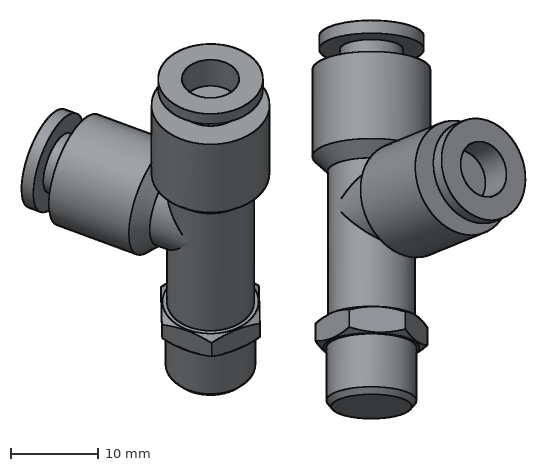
import cadquery as cq
import math


total_height = 44.5
branch_height = 23.0
branch_reach = 21.4

ring_height = 4.0
ring_flange_diameter = 12.0
ring_flange_thickness = 1.55
ring_neck_diameter = 7.25
ring_bore_diameter = 6.55

socket_diameter = 13.5
tube_diameter = 10.0
run_socket_start = 7.05
branch_socket_start = 6.95
cone_length = (socket_diameter - tube_diameter) / 2

thread_diameter = 10.3
thread_length = 7.07
thread_chamfer_width = 0.6
thread_chamfer_height = 0.7
hex_across_flats = 11.2
hex_height = 3.2
hex_chamfer_diameter = 11.0
hex_chamfer_angle = 30.0

hex_corner_diameter = hex_across_flats / math.cos(math.radians(30))
hex_top = thread_length + hex_height
run_socket_end = total_height - ring_height - branch_height
branch_socket_end = branch_reach - ring_height


def cylinder(diameter, bottom, top):
    """Cylinder on the Z axis between two heights."""
    return cq.Workplane("XY").workplane(offset=bottom).circle(diameter / 2).extrude(top - bottom)


def to_run(shape):
    """Move a shape from the origin up to the branch axis crossing."""
    return shape.translate((0, 0, branch_height))


def to_branch(shape):
    """Turn a shape from +Z to -X, then move it to the branch axis crossing."""
    return to_run(shape.rotate((0, 0, 0), (0, 1, 0), -90))


def make_arm(tube_start, socket_start, socket_end):
    """Tube that widens through a cone into a socket, along +Z."""
    tube_radius = tube_diameter / 2
    socket_radius = socket_diameter / 2
    return (
        cq.Workplane("XZ")
        .moveTo(0, tube_start)
        .lineTo(tube_radius, tube_start)
        .lineTo(tube_radius, socket_start - cone_length)
        .lineTo(socket_radius, socket_start)
        .lineTo(socket_radius, socket_end)
        .lineTo(0, socket_end)
        .close()
        .revolve(360, (0, 0, 0), (0, 1, 0))
    )


def make_tee_body():
    """Run arm standing on the stud, joined to the branch arm."""
    run = to_run(make_arm(hex_top - branch_height, run_socket_start, run_socket_end))
    branch = to_branch(make_arm(0, branch_socket_start, branch_socket_end))
    return run.union(branch)


def make_release_ring(socket_end):
    """Flanged ring with a through bore, seated on a socket end, along +Z."""
    ring_end = socket_end + ring_height
    neck = cylinder(ring_neck_diameter, socket_end, ring_end)
    flange = cylinder(ring_flange_diameter, ring_end - ring_flange_thickness, ring_end)
    bore = cylinder(ring_bore_diameter, socket_end, ring_end)
    return neck.union(flange).cut(bore)


def make_hex():
    """Hexagon with corners on the X axis and conical chamfers on both ends."""
    face_radius = hex_chamfer_diameter / 2
    corner_radius = hex_corner_diameter / 2
    corner_drop = (corner_radius - face_radius) * math.tan(math.radians(hex_chamfer_angle))
    prism = (
        cq.Workplane("XY")
        .workplane(offset=thread_length)
        .polygon(6, hex_corner_diameter)
        .extrude(hex_height)
    )
    chamfer_envelope = (
        cq.Workplane("XZ")
        .moveTo(0, thread_length)
        .lineTo(face_radius, thread_length)
        .lineTo(corner_radius, thread_length + corner_drop)
        .lineTo(corner_radius, hex_top - corner_drop)
        .lineTo(face_radius, hex_top)
        .lineTo(0, hex_top)
        .close()
        .revolve(360, (0, 0, 0), (0, 1, 0))
    )
    return prism.intersect(chamfer_envelope)


def make_stud():
    """Plain threaded end with a lead-in chamfer below the hexagon."""
    thread = (
        cylinder(thread_diameter, 0, thread_length)
        .faces("<Z")
        .edges()
        .chamfer(thread_chamfer_height, thread_chamfer_width)
    )
    return thread.union(make_hex())


tee_body = make_tee_body()
stud = make_stud()

release_rings = []
for place, socket_end in ((to_run, run_socket_end), (to_branch, branch_socket_end)):
    release_rings.append(place(make_release_ring(socket_end)))

result = cq.Compound.makeCompound(
    [tee_body.solids().val(), stud.solids().val(), *[ring.solids().val() for ring in release_rings]]
)